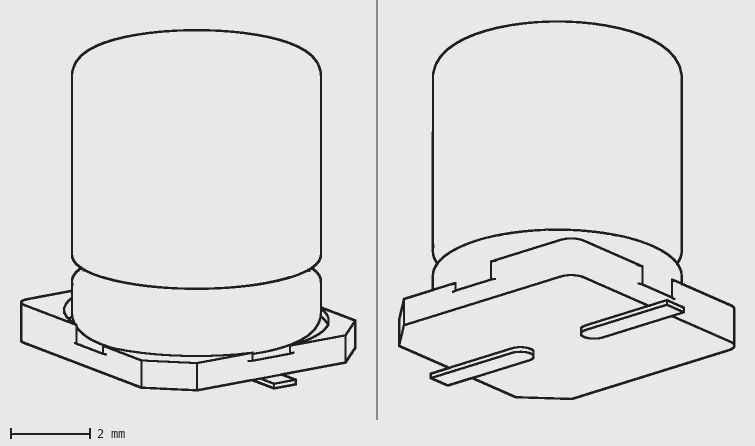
import cadquery as cq

overall_length = 7.8
overall_height = 7.7

lead_thickness = 0.125
lead_width = 0.67
lead_inner_end = 0.88

base_side = 6.6
base_top = 1.12
low_top = 0.84
corner_radius = 0.41
corner_chamfer = 1.01

seat_diameter = 6.7
seat_floor = 0.63

can_diameter = 6.3
can_edge_radius = 0.43
groove_height = 2.22
groove_radius = 0.32
groove_lip_radius = 0.03


def make_base():
    base = (
        cq.Workplane("XY", origin=(0, 0, lead_thickness))
        .rect(base_side, base_side)
        .extrude(base_top - lead_thickness)
    )
    base = base.edges("|Z and <X").fillet(corner_radius)
    base = base.edges("|Z and >X").chamfer(corner_chamfer)
    low_half = (
        cq.Workplane("XY", origin=(0, 0, low_top))
        .rect(base_side, base_side)
        .extrude(base_top - low_top)
        .translate((base_side / 2, 0, 0))
    )
    seat = (
        cq.Workplane("XY", origin=(0, 0, seat_floor))
        .circle(seat_diameter / 2)
        .extrude(base_top - seat_floor)
    )
    return base.cut(low_half).cut(seat)


def make_can():
    can = (
        cq.Workplane("XY", origin=(0, 0, seat_floor))
        .circle(can_diameter / 2)
        .extrude(overall_height - seat_floor)
        .faces("<Z or >Z")
        .edges()
        .fillet(can_edge_radius)
    )
    groove = cq.Workplane("XY").add(
        cq.Solid.makeTorus(can_diameter / 2, groove_radius, cq.Vector(0, 0, groove_height))
    )
    can = can.cut(groove)
    lip_zone = cq.selectors.BoxSelector(
        (-can_diameter, -can_diameter, groove_height - 1.5 * groove_radius),
        (can_diameter, can_diameter, groove_height + 1.5 * groove_radius),
    )
    return can.edges(lip_zone).edges("%CIRCLE").fillet(groove_lip_radius)


def make_lead(direction):
    """Flat lead with a fully rounded inner tip; direction is +1 or -1 along X."""
    half_width = lead_width / 2
    outer_x = direction * overall_length / 2
    tip_x = direction * lead_inner_end
    round_start_x = direction * (lead_inner_end + half_width)
    return (
        cq.Workplane("XY")
        .moveTo(outer_x, -half_width)
        .lineTo(round_start_x, -half_width)
        .threePointArc((tip_x, 0), (round_start_x, half_width))
        .lineTo(outer_x, half_width)
        .close()
        .extrude(lead_thickness)
    )


result = make_base().union(make_can())
for side in (-1, 1):
    result = result.union(make_lead(side))